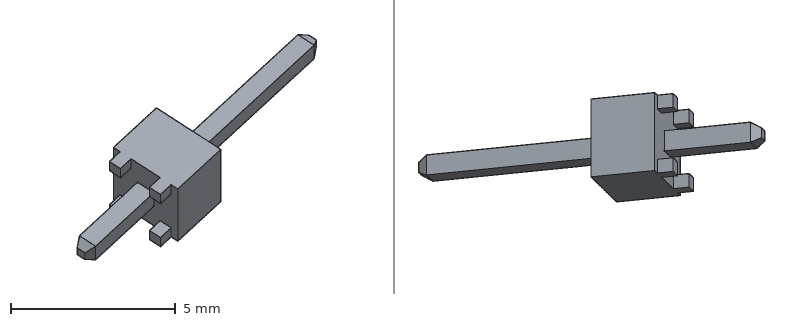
import cadquery as cq

PIN_LENGTH = 10.92
PIN_WIDTH = 0.64
TIP_LENGTH = 0.31
TIP_WIDTH = 0.32

HOUSING_WIDTH = 2.54
HOUSING_HEIGHT = 2.49
HOUSING_DEPTH = 2.03
FRONT_PIN_REACH = 3.05

FOOT_SIZE = 0.44
FOOT_LENGTH = 0.5
FOOT_SPACING = 1.58

pin_front = -PIN_LENGTH / 2
housing_front = pin_front + FRONT_PIN_REACH
housing_center = housing_front + HOUSING_DEPTH / 2
foot_center_y = housing_front - FOOT_LENGTH / 2
foot_center_x = FOOT_SPACING / 2
foot_center_z = (HOUSING_HEIGHT - FOOT_SIZE) / 2


def make_tip(direction):
    """Tapered pin end; direction is -1 for the front end, 1 for the back end."""
    base_y = direction * (PIN_LENGTH / 2 - TIP_LENGTH)
    base_plane = cq.Plane(origin=(0, base_y, 0), xDir=(1, 0, 0), normal=(0, direction, 0))
    return (
        cq.Workplane(base_plane)
        .rect(PIN_WIDTH, PIN_WIDTH)
        .workplane(offset=TIP_LENGTH)
        .rect(TIP_WIDTH, TIP_WIDTH)
        .loft(ruled=True)
    )


def make_pin():
    shank = cq.Workplane().box(PIN_WIDTH, PIN_LENGTH - 2 * TIP_LENGTH, PIN_WIDTH)
    return shank.union(make_tip(-1)).union(make_tip(1))


def make_housing():
    block = cq.Workplane().box(HOUSING_WIDTH, HOUSING_DEPTH, HOUSING_HEIGHT)
    block = block.translate((0, housing_center, 0))
    for side_x in (-1, 1):
        for side_z in (-1, 1):
            foot = cq.Workplane().box(FOOT_SIZE, FOOT_LENGTH, FOOT_SIZE)
            block = block.union(
                foot.translate((side_x * foot_center_x, foot_center_y, side_z * foot_center_z))
            )
    pin_hole = cq.Workplane().box(PIN_WIDTH, PIN_LENGTH, PIN_WIDTH)
    return block.cut(pin_hole)


pin = make_pin()
housing = make_housing()
result = cq.Compound.makeCompound([housing.solids().val(), pin.solids().val()])